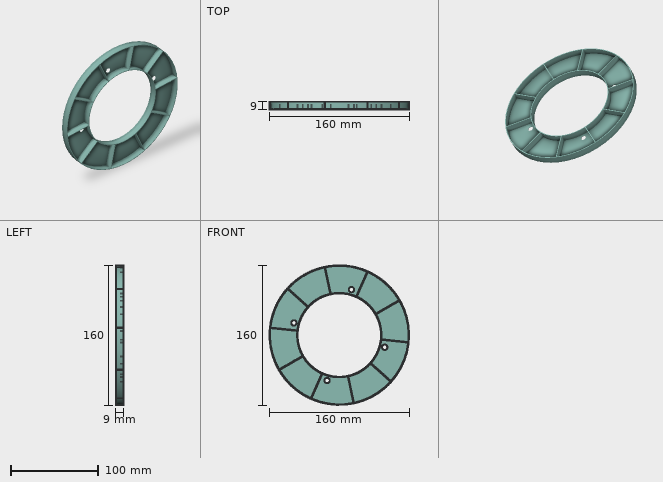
import cadquery as cq

outer_diameter = 160.0
bore_diameter = 95.0
depth = 9.0
plate_thickness = 0.6
wall_thickness = 1.0

hole_count = 4
hole_diameter = 6.0
hole_circle_diameter = 107.5
first_hole_angle = 75.0

rib_count = 10
first_rib_angle = 30.0


def make_ring(outside, inside, length):
    """Ring with its front face at Y = 0, reaching towards +Y."""
    return (
        cq.Workplane("XZ")
        .circle(outside / 2)
        .circle(inside / 2)
        .extrude(-length)
    )


def make_tray():
    """Full ring with an annular channel cut from the back, leaving two rims and the plate."""
    channel = make_ring(
        outer_diameter - 2 * wall_thickness,
        bore_diameter + 2 * wall_thickness,
        depth - plate_thickness,
    )
    return make_ring(outer_diameter, bore_diameter, depth).cut(channel.translate((0, plate_thickness, 0)))


def make_ribs():
    """Full-depth radial ribs whose ends are buried in the middle of the rims."""
    rib_length = (outer_diameter - bore_diameter) / 2 - wall_thickness
    rib_centre_radius = (outer_diameter + bore_diameter) / 4
    return (
        cq.Workplane("XZ")
        .polarArray(rib_centre_radius, first_rib_angle, 360, rib_count)
        .rect(rib_length, wall_thickness)
        .extrude(-depth)
    )


def make_hole_cutters():
    """Pins that cut the circle of small holes through the front plate."""
    return (
        cq.Workplane("XZ")
        .polarArray(hole_circle_diameter / 2, first_hole_angle, 360, hole_count, rotate=False)
        .circle(hole_diameter / 2)
        .extrude(-depth)
    )


result = make_tray().union(make_ribs()).cut(make_hole_cutters())